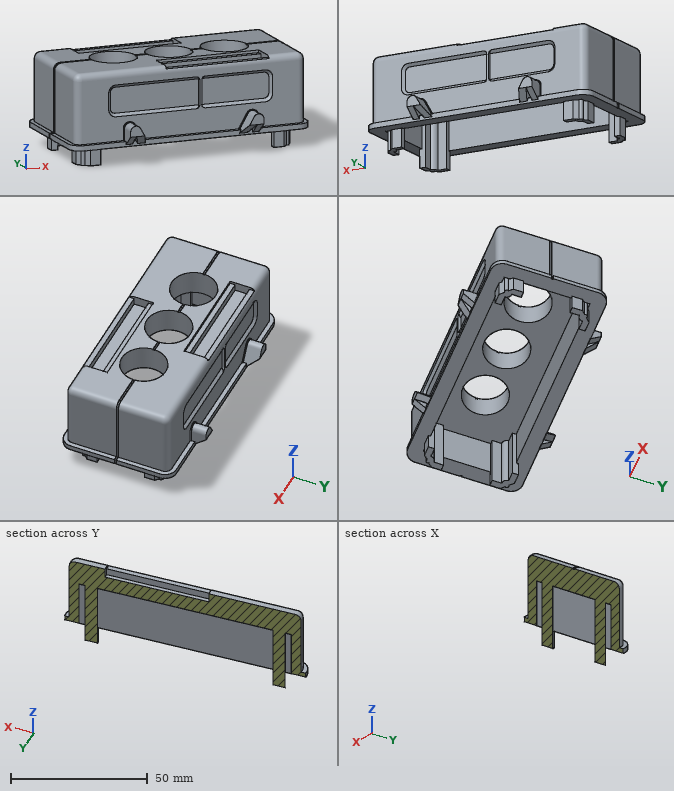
import cadquery as cq
import math

flange_length = 94.5
flange_width = 45.0
flange_height = 2.0
flange_corner_radius = 4.6

flange_ledge = 1.75
hood_length = flange_length - 2 * flange_ledge
hood_width = flange_width - 2 * flange_ledge
hood_top = 28.2
hood_edge_radius = 2.6
wall_thickness = 4.0
roof_thickness = 10.0
cavity_top = hood_top - roof_thickness

hole_diameter = 17.6
hole_pitch = 22.0
hole_count = 3

groove_width = 0.7
groove_depth = 0.35

slot_length = 40.6
slot_center_x = hole_pitch / 2
slot_inner_y = -10.4
slot_ledge_width = 2.0
slot_ledge_depth = 1.0
channel_width = 5.75
channel_depth = 2.7

window_length = 65.0
window_bottom = 11.2
window_top = 23.2
window_depth = 1.1
window_slope = 45.0
window_corner_radius = 3.0
bar_center_x = 4.05
bar_width = 0.8
bar_corner_radius = 1.5

peg_span = 54.0
peg_radius = 2.1
peg_center_x = -24.3
peg_center_z = 6.5
peg_flank_angle = 30.0
peg_tip_bottom = 4.6
peg_root_bottom = 0.8
peg_side_wall = 2.55
peg_opening_top = 4.5
collar_margin = 0.3
collar_thickness = 0.45

post_outer_x = 42.4
post_outer_y = 17.6
post_size = 8.1
post_chamfer = 4.05
post_thickness = 2.4
post_drop = 7.2
post_rib_radius = 2.0
post_bead_diameter = 1.7
post_bead_inset_x = 2.05
post_bead_inset_y = 2.3


def rotated_copy(shape):
    """The same shape turned half a turn about the Z axis."""
    return shape.rotate((0, 0, 0), (0, 0, 1), 180)


def box_between(x_range, y_range, z_range):
    """A box given by its lower and upper limits along each axis."""
    size = [high - low for low, high in (x_range, y_range, z_range)]
    corner = (x_range[0], y_range[0], z_range[0])
    return cq.Workplane("XY").box(*size, centered=False).translate(corner)


def make_hood():
    """The flange and the rounded hood, hollow below the roof."""
    flange = cq.Workplane("XY").rect(flange_length, flange_width).extrude(flange_height)
    flange = flange.edges("|Z").fillet(flange_corner_radius)
    hood = cq.Workplane("XY").rect(hood_length, hood_width).extrude(hood_top)
    hood = hood.edges("|Z").fillet(hood_edge_radius)
    hood = hood.faces(">Z").edges().fillet(hood_edge_radius)
    cavity_length = hood_length - 2 * wall_thickness
    cavity_width = hood_width - 2 * wall_thickness
    cavity = cq.Workplane("XY").rect(cavity_length, cavity_width).extrude(cavity_top)
    return flange.union(hood).cut(cavity)


def make_cable_holes():
    holes = cq.Workplane("XY").rarray(hole_pitch, 1, hole_count, 1)
    return holes.circle(hole_diameter / 2).extrude(hood_top)


def make_parting_groove():
    """A shallow groove up both ends, over the flange ledge and across the roof."""
    half_groove = groove_width / 2
    strip_y = (-half_groove, half_groove)
    half_flange = flange_length / 2
    outside = box_between((-half_flange, half_flange), strip_y, (0, hood_top))
    hood_core = cq.Workplane("XY").rect(hood_length - 2 * groove_depth, hood_width)
    hood_core = hood_core.extrude(hood_top - groove_depth)
    hood_core = hood_core.faces(">Z").edges("|Y").fillet(hood_edge_radius - groove_depth)
    flange_core = cq.Workplane("XY").rect(flange_length - 2 * groove_depth, flange_width)
    return outside.cut(hood_core).cut(flange_core.extrude(flange_height - groove_depth))


def make_label_slot():
    """A shallow recess that runs out through the roof edge, with a deeper channel inside."""
    slot_x = (slot_center_x - slot_length / 2, slot_center_x + slot_length / 2)
    ledge_z = hood_top - slot_ledge_depth
    recess = box_between(slot_x, (-hood_width / 2, slot_inner_y), (ledge_z, hood_top))
    channel_inner_y = slot_inner_y - slot_ledge_width
    channel_y = (channel_inner_y - channel_width, channel_inner_y)
    return recess.union(box_between(slot_x, channel_y, (ledge_z - channel_depth, hood_top)))


def make_windows():
    """Two windows made from one tapered recess, kept apart by a straight bar."""
    center_z = (window_bottom + window_top) / 2
    height = window_top - window_bottom
    face = cq.Workplane("XZ", origin=(0, -hood_width / 2, center_z))
    outline = face.sketch().rect(window_length, height).vertices()
    outline = outline.fillet(window_corner_radius).finalize()
    recess = outline.extrude(-window_depth, taper=window_slope)
    windows = cq.Workplane("XY")
    for side in (-1, 1):
        bar_edge = bar_center_x + side * bar_width / 2
        far_edge = side * window_length / 2
        x_range = (min(bar_edge, far_edge), max(bar_edge, far_edge))
        y_range = (-hood_width / 2, -hood_width / 2 + window_depth)
        limit = box_between(x_range, y_range, (window_bottom, window_top))
        bar_side = ">X" if side < 0 else "<X"
        limit = limit.faces(bar_side).edges("|Y").fillet(bar_corner_radius)
        windows = windows.union(recess.intersect(limit))
    return windows


def peg_prism(radius, length):
    """A round-topped prism with one upright and one sloping flank, from Y = 0 toward -Y."""
    angle = math.radians(peg_flank_angle)
    tangent_x = peg_center_x + radius * math.cos(angle)
    tangent_z = peg_center_z + radius * math.sin(angle)
    flank_foot_x = tangent_x + tangent_z * math.tan(angle)
    outline = cq.Workplane("XZ").moveTo(peg_center_x - radius, 0)
    outline = outline.lineTo(peg_center_x - radius, peg_center_z)
    outline = outline.threePointArc((peg_center_x, peg_center_z + radius), (tangent_x, tangent_z))
    return outline.lineTo(flank_foot_x, 0).close().extrude(length)


def make_peg():
    """One locking peg on the -Y side, with a collar, a sloping underside and an opening below."""
    tip_y = -peg_span / 2
    flange_y = -flange_width / 2
    inner_y = -hood_width / 2 + wall_thickness / 2
    peg = peg_prism(peg_radius, -tip_y)
    apex_x = peg_center_x - peg_radius + peg_side_wall
    opening = cq.Workplane("XZ").moveTo(apex_x, peg_opening_top).lineTo(apex_x, 0)
    flank_run = peg_opening_top * math.tan(math.radians(peg_flank_angle))
    opening = opening.lineTo(apex_x + flank_run, 0).close().extrude(-tip_y)
    below = cq.Workplane("YZ", origin=(-flange_length / 2, 0, 0))
    slope_ends = [(flange_y, peg_root_bottom), (tip_y, peg_tip_bottom)]
    below = below.polyline([(flange_y, 0), *slope_ends, (tip_y, 0)])
    below = below.close().extrude(flange_length)
    collar = peg_prism(peg_radius + collar_margin, hood_width / 2 + collar_thickness)
    peg = peg.cut(opening).cut(below).union(collar)
    inside_x = (-flange_length / 2, flange_length / 2)
    inside = box_between(inside_x, (inner_y, 0), (0, hood_top))
    return peg.cut(inside)


def make_post():
    """The corner post at +X +Y: an angle with a chamfered, beaded corner and a rib inside."""
    center = (post_outer_x - post_size / 2, post_outer_y - post_size / 2)
    height = post_drop + cavity_top
    base = cq.Workplane("XY", origin=(0, 0, -post_drop))
    post = base.center(*center).rect(post_size, post_size).extrude(height)
    inner_x = post_outer_x - post_thickness
    inner_y = post_outer_y - post_thickness
    inner = base.center(inner_x - post_size / 2, inner_y - post_size / 2)
    post = post.cut(inner.rect(post_size, post_size).extrude(height))
    rib = base.center(inner_x, inner_y).circle(post_rib_radius).extrude(height)
    post = post.union(rib).edges("|Z and >X and >Y").chamfer(post_chamfer)
    bead = base.center(post_outer_x - post_bead_inset_x, post_outer_y - post_bead_inset_y)
    return post.union(bead.circle(post_bead_diameter / 2).extrude(height))


result = make_hood()
post = make_post()
peg = make_peg()
for body in (post, peg):
    for corner in (body, body.mirror("YZ")):
        result = result.union(corner).union(rotated_copy(corner))
for cutter in (make_label_slot(), make_windows()):
    result = result.cut(cutter).cut(rotated_copy(cutter))
result = result.cut(make_cable_holes()).cut(make_parting_groove())